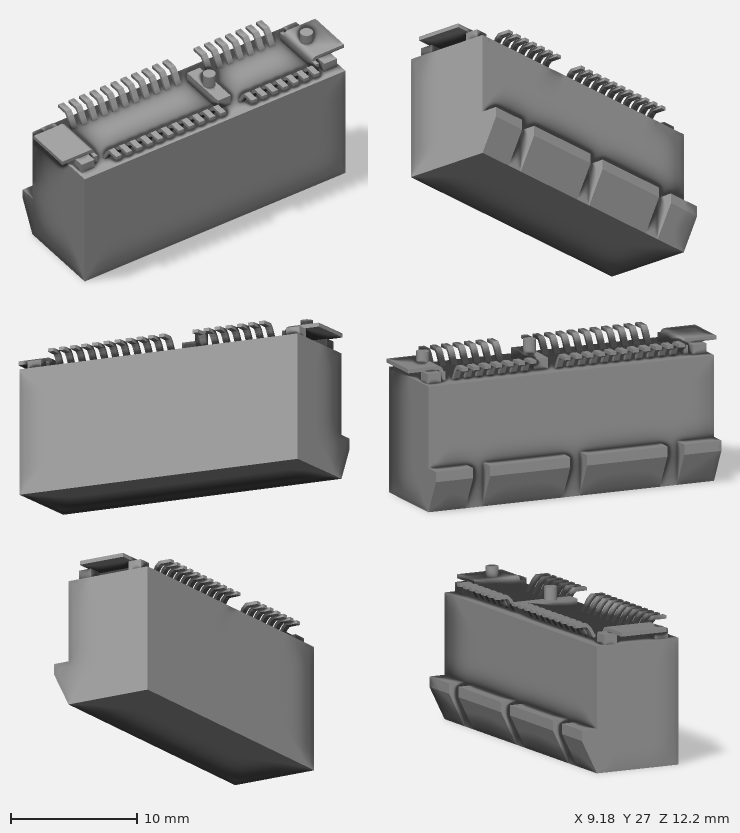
import cadquery as cq
import math

HOUSING_WIDTH = 7.4
HOUSING_LENGTH = 25.0
HOUSING_HEIGHT = 10.25
HOUSING_SIDE = HOUSING_WIDTH / 2

RAIL_REACH = 1.38
RAIL_TOP = 3.6
RAIL_SLOPE_TOP = 2.75
RAIL_GAP = 1.48
RAIL_GAP_PITCH = 8.5

CONTACT_PITCH = 1.0
CONTACT_SLOTS = 20
EMPTY_SLOTS = (7, 8)
CONTACT_WIDTH = 0.5
CONTACT_OVERHANG = 0.4
CONTACT_TOP = 11.55
CONTACT_THICKNESS = 0.27
FOOT_LENGTH = 1.08
KNEE_ANGLE = 45.0
KNEE_RUN = 0.32
LEG_ROOT_X = 2.13
LEG_ROOT_WIDTH = 0.3

BRACKET_END = 13.5
BRACKET_INNER = 10.45
BRACKET_TOP = 11.4
BRACKET_THICKNESS = 0.32
BRACKET_WIDTH = 4.05
BRACKET_BEND_RADIUS = 0.4
EAR_WIDTH = 5.0

SUPPORT_INNER_X = 1.75
SUPPORT_OUTER_X = 2.9
SUPPORT_INNER_Y = 11.02
SUPPORT_DEPTH = 1.22

KEY_BAR_WIDTH = 4.35
KEY_BAR_DEPTH = 1.22
KEY_BAR_Y = 1.92
KEY_BAR_TOP = 11.15
POST_DIAMETER = 1.03
POST_TOP = 12.25
POST_OFFSET_X = 0.05
END_POST_Y = 11.3


def box_between(x_range, y_range, z_range):
    """Axis-aligned box given by its limits on each axis."""
    (x0, x1), (y0, y1), (z0, z1) = x_range, y_range, z_range
    return cq.Workplane("XY").box(x1 - x0, y1 - y0, z1 - z0, centered=False).translate((x0, y0, z0))


def extrude_along_y(points, length):
    """Extrude an XZ outline symmetrically about Y = 0."""
    return cq.Workplane("XZ").polyline(points).close().extrude(length / 2, both=True)


def make_housing():
    rail_outer_x = -HOUSING_SIDE - RAIL_REACH
    outline = [
        (-HOUSING_SIDE, 0),
        (HOUSING_SIDE, 0),
        (HOUSING_SIDE, HOUSING_HEIGHT),
        (-HOUSING_SIDE, HOUSING_HEIGHT),
        (-HOUSING_SIDE, RAIL_TOP),
        (rail_outer_x, RAIL_TOP),
        (rail_outer_x, RAIL_SLOPE_TOP),
    ]
    housing = extrude_along_y(outline, HOUSING_LENGTH)
    for gap_y in (-RAIL_GAP_PITCH, 0, RAIL_GAP_PITCH):
        gap = box_between(
            (rail_outer_x, -HOUSING_SIDE),
            (gap_y - RAIL_GAP / 2, gap_y + RAIL_GAP / 2),
            (0, RAIL_TOP),
        )
        housing = housing.cut(gap)
    return housing


def make_contact():
    """Contact of the +X row: flat foot, sloping knee and a leaning leg."""
    tip_x = HOUSING_SIDE + CONTACT_OVERHANG
    foot_x = tip_x - FOOT_LENGTH
    foot_bottom = CONTACT_TOP - CONTACT_THICKNESS
    knee_slope = math.tan(math.radians(KNEE_ANGLE))
    corner_shift = CONTACT_THICKNESS * math.tan(math.radians(KNEE_ANGLE / 2))
    under_knee_run = KNEE_RUN - corner_shift
    outline = [
        (tip_x, CONTACT_TOP),
        (foot_x, CONTACT_TOP),
        (foot_x - KNEE_RUN, CONTACT_TOP - KNEE_RUN * knee_slope),
        (LEG_ROOT_X, HOUSING_HEIGHT),
        (LEG_ROOT_X + LEG_ROOT_WIDTH, HOUSING_HEIGHT),
        (foot_x + corner_shift - under_knee_run, foot_bottom - under_knee_run * knee_slope),
        (foot_x + corner_shift, foot_bottom),
        (tip_x, foot_bottom),
    ]
    return extrude_along_y(outline, CONTACT_WIDTH)


def make_contacts():
    contact = make_contact()
    pair = contact.union(contact.mirror("YZ"))
    first_y = (CONTACT_SLOTS - 1) / 2 * CONTACT_PITCH
    return [
        pair.translate((0, first_y - slot * CONTACT_PITCH, 0))
        for slot in range(CONTACT_SLOTS)
        if slot not in EMPTY_SLOTS
    ]


def make_bracket():
    """Bracket of the +Y end with its two support blocks."""
    tab_bottom = BRACKET_TOP - BRACKET_THICKNESS
    upright_outer = BRACKET_INNER + BRACKET_THICKNESS
    bend_start_z = BRACKET_TOP - BRACKET_BEND_RADIUS
    half_width = BRACKET_WIDTH / 2

    tab = box_between(
        (-half_width, half_width), (BRACKET_INNER, BRACKET_END), (tab_bottom, BRACKET_TOP)
    )
    upright = box_between(
        (-half_width, half_width), (BRACKET_INNER, upright_outer), (HOUSING_HEIGHT, BRACKET_TOP)
    )
    inner_corner = cq.selectors.NearestToPointSelector((0, BRACKET_INNER, BRACKET_TOP))
    folded_strip = tab.union(upright).edges("|X").edges(inner_corner).fillet(BRACKET_BEND_RADIUS)

    ears = box_between(
        (-EAR_WIDTH / 2, EAR_WIDTH / 2), (BRACKET_INNER, upright_outer), (HOUSING_HEIGHT, bend_start_z)
    )
    support = box_between(
        (SUPPORT_INNER_X, SUPPORT_OUTER_X),
        (SUPPORT_INNER_Y, SUPPORT_INNER_Y + SUPPORT_DEPTH),
        (HOUSING_HEIGHT, tab_bottom),
    )
    return folded_strip.union(ears).union(support).union(support.mirror("YZ"))


def make_key_bar():
    return box_between(
        (-KEY_BAR_WIDTH / 2, KEY_BAR_WIDTH / 2),
        (KEY_BAR_Y - KEY_BAR_DEPTH / 2, KEY_BAR_Y + KEY_BAR_DEPTH / 2),
        (HOUSING_HEIGHT, KEY_BAR_TOP),
    )


def make_post(x, y, base_z):
    post = cq.Workplane("XY").circle(POST_DIAMETER / 2).extrude(POST_TOP - base_z)
    return post.translate((x, y, base_z))


bracket = make_bracket()
features = [
    bracket,
    bracket.mirror("XZ"),
    make_key_bar(),
    make_post(POST_OFFSET_X, KEY_BAR_Y, KEY_BAR_TOP),
    make_post(-POST_OFFSET_X, END_POST_Y, BRACKET_TOP),
]

result = make_housing()
for feature in features + make_contacts():
    result = result.union(feature)